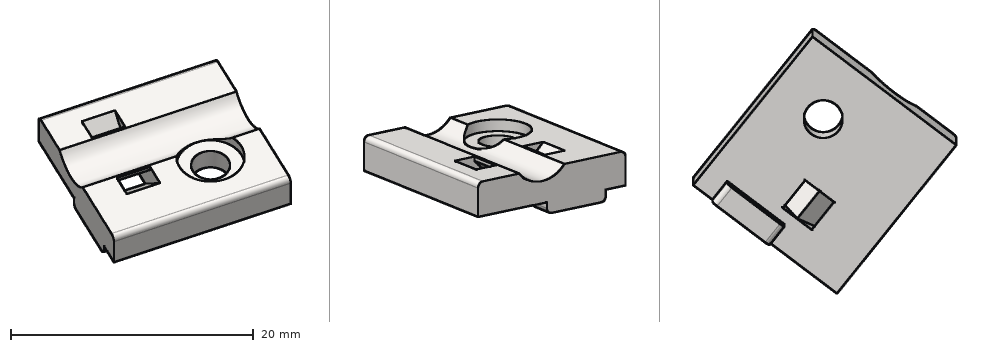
import cadquery as cq
import math

width = 15.0
length = 16.0
total_height = 4.0
foot_height = 1.0
plate_height = total_height - foot_height
edge_radius = 0.5

foot_left = 7.0
foot_width = 6.0
foot_length = 2.0

groove_x = 6.48
groove_radius = 3.0
groove_depth = 1.07

hole_x = 10.0
hole_y = 11.0
hole_diameter = 3.2
counterbore_diameter = 5.6
counterbore_depth = 1.0

slot_front = 3.0
slot_length = 3.0
slot_outer_offset = 4.5
slot_inner_offset = 2.5
slot_lip_height = 0.37
slot_angle = 45.0


def make_plate():
    """Plate with its two long top edges rounded."""
    plate = cq.Workplane("XY").box(width, length, plate_height, centered=False)
    return plate.edges("|Y and >Z").fillet(edge_radius)


def make_foot():
    """Foot below the plate with its two lower edges rounded."""
    foot = cq.Workplane("XY").box(foot_width, foot_length, foot_height, centered=False)
    foot = foot.edges("|Y and <Z").fillet(edge_radius)
    return foot.translate((foot_left, 0, -foot_height))


def make_groove():
    """Cylinder that leaves a shallow round groove in the top face."""
    axis_height = plate_height - groove_depth + groove_radius
    return (
        cq.Workplane("XZ")
        .center(groove_x, axis_height)
        .circle(groove_radius)
        .extrude(-length)
    )


def make_strap_slot(side):
    """Slanted slot through the plate; side is -1 for left of the groove, 1 for right."""
    slope = math.tan(math.radians(slot_angle))
    outer_bottom = slot_outer_offset - plate_height / slope
    inner_bottom = slot_inner_offset - (plate_height - slot_lip_height) / slope
    profile = [
        (slot_outer_offset, plate_height),
        (slot_inner_offset, plate_height),
        (slot_inner_offset, plate_height - slot_lip_height),
        (inner_bottom, 0),
        (outer_bottom, 0),
    ]
    points = [(groove_x + side * offset, height) for offset, height in profile]
    slot = cq.Workplane("XZ").polyline(points).close().extrude(-slot_length)
    return slot.translate((0, slot_front, 0))


result = make_plate().union(make_foot()).cut(make_groove())

result = (
    result.cut(
        cq.Workplane("XY").center(hole_x, hole_y).circle(hole_diameter / 2).extrude(plate_height)
    )
    .cut(
        cq.Workplane("XY", origin=(hole_x, hole_y, plate_height - counterbore_depth))
        .circle(counterbore_diameter / 2)
        .extrude(counterbore_depth)
    )
)

for side in (-1, 1):
    result = result.cut(make_strap_slot(side))